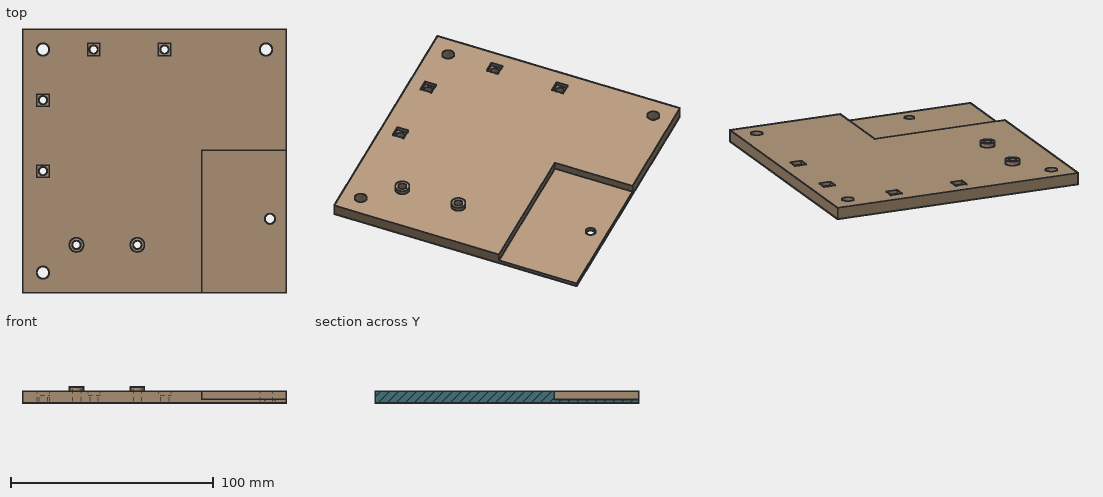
import cadquery as cq

plate_side = 130.0
plate_thickness = 6.0
total_height = 8.0

mount_diameter = 6.0
edge_inset = 10.0

screw_diameter = 4.0
recess_side = 6.0
recess_depth = 2.0
recess_offsets = (35.0, 70.0)

boss_diameter = 7.0
boss_start_x = 26.5
boss_spacing = 30.0
boss_y = 23.7

step_length_x = 41.6
step_length_y = 70.3
step_floor = 2.0
step_hole_diameter = 5.0
step_hole_from_right = 8.0
step_hole_y = 36.5

far_inset = plate_side - edge_inset
mount_points = [(edge_inset, edge_inset), (edge_inset, far_inset), (far_inset, far_inset)]
top_recess_points = [(offset, far_inset) for offset in recess_offsets]
left_recess_points = [(edge_inset, plate_side - offset) for offset in recess_offsets]
recess_points = top_recess_points + left_recess_points
boss_points = [(boss_start_x, boss_y), (boss_start_x + boss_spacing, boss_y)]
step_hole_point = (plate_side - step_hole_from_right, step_hole_y)


def cylinders(points, diameter, height):
    """Upright cylinders standing on Z = 0."""
    return cq.Workplane("XY").pushPoints(points).circle(diameter / 2).extrude(height)


def stepped_plate():
    """Square plate with its lower-right corner lowered to a thin floor."""
    plate = cq.Workplane("XY").box(plate_side, plate_side, plate_thickness, centered=False)
    step = (
        cq.Workplane("XY")
        .box(step_length_x, step_length_y, plate_thickness, centered=False)
        .translate((plate_side - step_length_x, 0, step_floor))
    )
    return plate.cut(step)


def square_recesses():
    """Square sinkings around the screw holes near the top and left edges."""
    return (
        cq.Workplane("XY", origin=(0, 0, plate_thickness))
        .pushPoints(recess_points)
        .rect(recess_side, recess_side)
        .extrude(-recess_depth)
    )


result = stepped_plate()
result = result.union(cylinders(boss_points, boss_diameter, total_height))
result = result.cut(square_recesses())

result = result.cut(cylinders(mount_points, mount_diameter, total_height))
result = result.cut(cylinders(recess_points + boss_points, screw_diameter, total_height))
result = result.cut(cylinders([step_hole_point], step_hole_diameter, total_height))